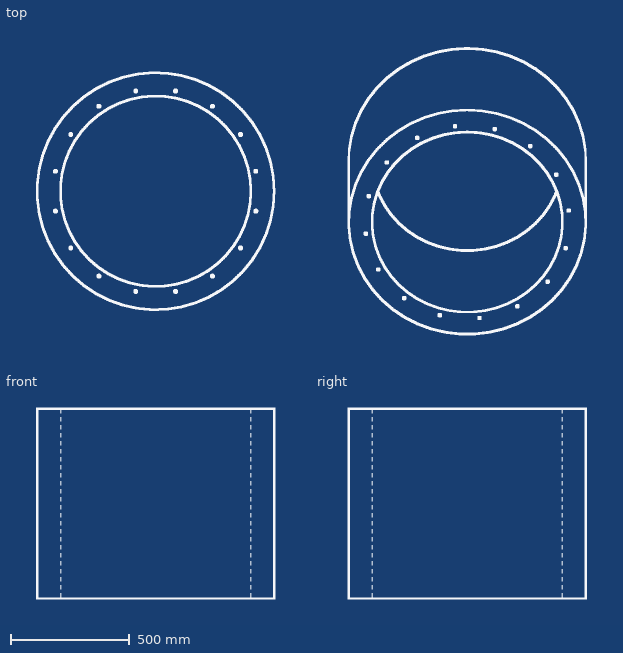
import cadquery as cq

OUTER_DIAMETER = 1000.0
INNER_DIAMETER = 800.0
HEIGHT = 800.0
SHEET_THICKNESS = 2.0

HOLE_COUNT = 16
HOLE_DIAMETER = 10.0
BOLT_CIRCLE_DIAMETER = 860.0
HOLE_PITCH_ANGLE = 360.0 / HOLE_COUNT
FIRST_HOLE_ANGLE = HOLE_PITCH_ANGLE / 2


def make_annulus(outer_diameter, inner_diameter, bottom, height):
    """Upright annular block standing on the level z = bottom."""
    return (
        cq.Workplane("XY", origin=(0, 0, bottom))
        .circle(outer_diameter / 2)
        .circle(inner_diameter / 2)
        .extrude(height)
    )


def make_shell():
    """Outer and inner tubes joined by an annular plate at each end, hollow between them."""
    envelope = make_annulus(OUTER_DIAMETER, INNER_DIAMETER, 0, HEIGHT)
    cavity = make_annulus(
        OUTER_DIAMETER - 2 * SHEET_THICKNESS,
        INNER_DIAMETER + 2 * SHEET_THICKNESS,
        SHEET_THICKNESS,
        HEIGHT - 2 * SHEET_THICKNESS,
    )
    return envelope.cut(cavity)


def make_bolt_holes():
    """Full-height cutters that pierce both end plates in line."""
    return (
        cq.Workplane("XY")
        .polarArray(BOLT_CIRCLE_DIAMETER / 2, FIRST_HOLE_ANGLE, 360, HOLE_COUNT, rotate=False)
        .circle(HOLE_DIAMETER / 2)
        .extrude(HEIGHT)
    )


result = make_shell().cut(make_bolt_holes())